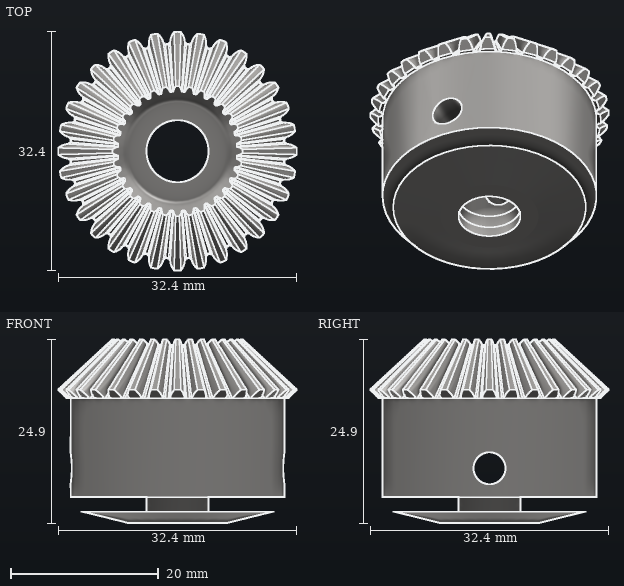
import cadquery as cq
import math

outer_radius = 16.2
total_height = 24.92

hub_radius = 29.0 / 2
hub_bottom = 3.53
hub_top = 16.95
bore_radius = 8.4 / 2
set_screw_diameter = 4.3
set_screw_height = 7.45

neck_wall = 0.03
foot_height = 1.6
foot_top_radius = 13.05
foot_bottom_radius = 6.65

tooth_count = 32
apex_height = 33.08
tip_height = 18.1
end_cone_angle = math.radians(45)

recess_floor_height = 23.1
recess_fillet = 0.97

root_half_width = 0.23
root_depth = 1.95
flank_bottom_half_width = 0.47
flank_bottom_depth = 1.75
flank_middle_half_width = 0.7
flank_middle_depth = 0.85
tip_half_width = 1.13
tip_depth = 0.058
crest_half_width = 1.6
crest_depth = 0.04
cutter_clearance = 0.65
end_overrun = 1.05

tip_slope = (apex_height - tip_height) / outer_radius
back_cone_offset = tip_height - outer_radius
small_tip_radius = (apex_height - total_height) / tip_slope
small_end_scale = small_tip_radius / outer_radius
recess_radius = recess_floor_height - (total_height - small_tip_radius)


def revolved(points):
    """Solid of revolution about Z from (radius, height) points."""
    return cq.Workplane("XZ").polyline(points).close().revolve(360, (0, 0), (0, 1))


def make_blank():
    """Hub and uncut gear cone, with the filleted recess and the bore."""
    blank = revolved([
        (bore_radius, hub_bottom),
        (hub_radius, hub_bottom),
        (hub_radius, hub_top),
        (hub_top - back_cone_offset, hub_top),
        (outer_radius, tip_height),
        (small_tip_radius, total_height),
        (recess_radius, recess_floor_height),
        (bore_radius, recess_floor_height),
    ])
    recess_floor = cq.selectors.NearestToPointSelector(
        ((bore_radius + recess_radius) / 2, 0, recess_floor_height)
    )
    rim = cq.selectors.RadiusNthSelector(-1)
    return blank.faces(recess_floor).edges("%CIRCLE").edges(rim).fillet(recess_fillet)


def tooth_space_section(scale):
    """Outline of one tooth space on the +X side, shrunk toward the apex by `scale`."""
    def point(half_width, depth):
        radius = outer_radius - depth * math.cos(end_cone_angle)
        height = tip_height - depth * math.sin(end_cone_angle)
        return cq.Vector(
            radius * scale,
            half_width * scale,
            apex_height - (apex_height - height) * scale,
        )

    def flank(side):
        return cq.Edge.makeThreePointArc(
            point(side * flank_bottom_half_width, flank_bottom_depth),
            point(side * flank_middle_half_width, flank_middle_depth),
            point(side * tip_half_width, tip_depth),
        )

    root = cq.Wire.makePolygon([
        point(-flank_bottom_half_width, flank_bottom_depth),
        point(-root_half_width, root_depth),
        point(root_half_width, root_depth),
        point(flank_bottom_half_width, flank_bottom_depth),
    ])
    top = cq.Wire.makePolygon([
        point(tip_half_width, tip_depth),
        point(crest_half_width, crest_depth),
        point(crest_half_width, -cutter_clearance),
        point(-crest_half_width, -cutter_clearance),
        point(-crest_half_width, crest_depth),
        point(-tip_half_width, tip_depth),
    ])
    return cq.Wire.assembleEdges([*root.Edges(), flank(1), *top.Edges(), flank(-1)])


def make_tooth_space():
    """Tapered cutter for one tooth space: flat faces and two curved flanks between its ends."""
    large_end = tooth_space_section(end_overrun)
    small_end = tooth_space_section(small_end_scale / end_overrun)
    faces = [cq.Face.makeFromWires(large_end), cq.Face.makeFromWires(small_end)]
    for large_edge, small_edge in zip(large_end, small_end):
        if large_edge.geomType() == "LINE":
            corners = [
                large_edge.startPoint(),
                large_edge.endPoint(),
                small_edge.endPoint(),
                small_edge.startPoint(),
            ]
            faces.append(cq.Face.makeFromWires(cq.Wire.makePolygon(corners, close=True)))
        else:
            faces.append(cq.Face.makeRuledSurface(large_edge, small_edge))
    return cq.Solid.makeSolid(cq.Shell.makeShell(faces)).fix()


def make_tooth_spaces():
    """Cutters for all tooth spaces, half a pitch away from the teeth on the axes."""
    pitch_angle = 360 / tooth_count
    cutter = make_tooth_space()
    return [
        cutter.rotate(cq.Vector(0, 0, 0), cq.Vector(0, 0, 1), (index + 0.5) * pitch_angle)
        for index in range(tooth_count)
    ]


def make_foot():
    """Neck and foot below the hub, bored through."""
    neck_radius = bore_radius + neck_wall
    return revolved([
        (bore_radius, 0),
        (foot_bottom_radius, 0),
        (foot_top_radius, foot_height),
        (neck_radius, foot_height),
        (neck_radius, hub_bottom),
        (bore_radius, hub_bottom),
    ])


set_screw_hole = (
    cq.Workplane("YZ")
    .center(0, set_screw_height)
    .circle(set_screw_diameter / 2)
    .extrude(outer_radius, both=True)
)

gear = cq.Workplane(make_blank().val().cut(*make_tooth_spaces()))
result = gear.union(make_foot()).cut(set_screw_hole)